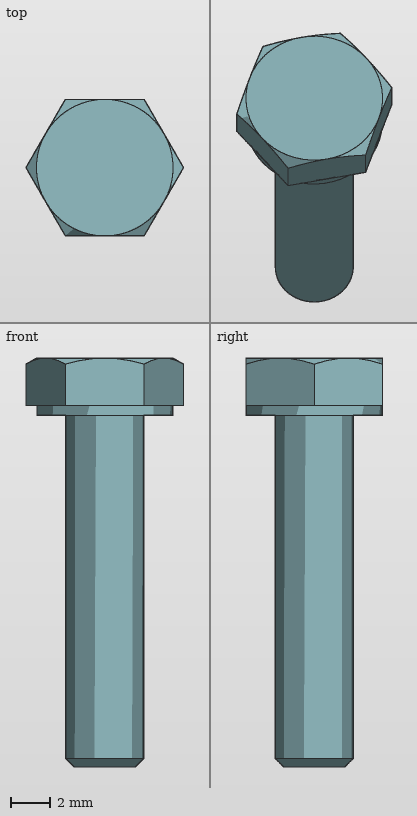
import cadquery as cq
import math

total_length = 20.93
shank_diameter = 4.0
tip_chamfer = 0.44
collar_diameter = 6.97
collar_thickness = 0.5
head_height = 2.43
across_flats = 7.0
crown_angle = 30.0

across_corners = across_flats / math.cos(math.radians(30))
head_bottom = total_length - head_height
collar_bottom = head_bottom - collar_thickness


def make_shank():
    shank = cq.Workplane("XY").circle(shank_diameter / 2).extrude(collar_bottom)
    return shank.faces("<Z").chamfer(tip_chamfer)


def make_collar():
    return (
        cq.Workplane("XY")
        .workplane(offset=collar_bottom)
        .circle(collar_diameter / 2)
        .extrude(collar_thickness)
    )


def make_head():
    """Hexagon with corners on X, its top corners trimmed by a cone."""
    hexagon = (
        cq.Workplane("XY")
        .workplane(offset=head_bottom)
        .polygon(6, across_corners)
        .extrude(head_height)
    )
    top_radius = across_flats / 2
    outer_radius = across_corners
    cone_drop = (outer_radius - top_radius) * math.tan(math.radians(crown_angle))
    crown = (
        cq.Workplane("XZ")
        .moveTo(0, head_bottom)
        .lineTo(outer_radius, head_bottom)
        .lineTo(outer_radius, total_length - cone_drop)
        .lineTo(top_radius, total_length)
        .lineTo(0, total_length)
        .close()
        .revolve(360, (0, 0, 0), (0, 1, 0))
    )
    return hexagon.intersect(crown)


result = make_shank().union(make_collar()).union(make_head())